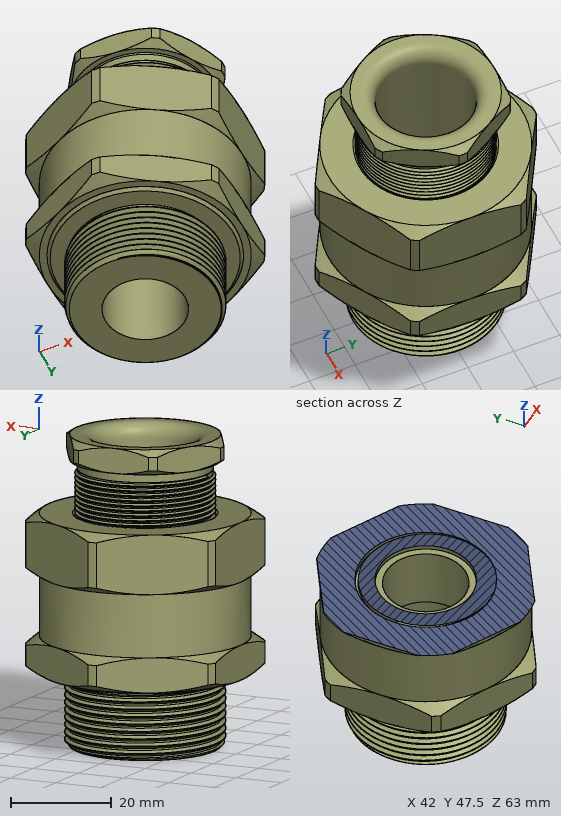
import cadquery as cq
import math

COS_30 = math.cos(math.pi / 6)
TAN_30 = math.tan(math.pi / 6)

COLLAR_BOTTOM = 14.3
LOWER_HEX_BOTTOM = 15.0
LOWER_HEX_TOP = 22.1
UPPER_HEX_BOTTOM = 34.9
UPPER_HEX_TOP = 47.0
NECK_BOTTOM = 56.0
CAP_HEX_BOTTOM = 57.9
TOTAL_HEIGHT = 63.0

LARGE_FLAT_RADIUS = 42.0 / 2
LARGE_CORNER_RADIUS = 47.5 / 2
LARGE_HEX_ROTATION = 30.0
LARGE_CHAMFER_HEIGHT = 1.45

SMALL_FLAT_RADIUS = 15.0
SMALL_CORNER_RADIUS = 16.8
SMALL_HEX_ROTATION = 1.5
SMALL_CHAMFER_HEIGHT = 1.2

COLLAR_RADIUS = 19.45
COLLAR_CHAMFER = 0.6
ENTRY_THREAD_RADIUS = 16.0
ENTRY_THREAD_LENGTH = 15.0
ENTRY_THREAD_TURNS = 10
ENTRY_THREAD_PITCH = ENTRY_THREAD_LENGTH / ENTRY_THREAD_TURNS
ENTRY_THREAD_END = 14.2
ENTRY_THREAD_END_ANGLE = 270.0
ENTRY_END_CHAMFER = 0.95
CREST_CLEARANCE = 0.1

GLAND_THREAD_RADIUS = 14.0
GLAND_THREAD_PITCH = 1.0
GLAND_THREAD_END = 55.55
GLAND_THREAD_END_ANGLE = 180.0
NECK_RADIUS = 13.55
NECK_FLARE = 0.25
FLARE_ANGLE = 45.0
GLAND_BORE_RADIUS = 10.0
MOUTH_ROUND = 2.95

SLEEVE_RADIUS = LARGE_FLAT_RADIUS
STEM_HOLE_CHAMFER = 0.45
CABLE_BORE_RADIUS = 8.55

THREAD_DEPTH_RATIO = 5 / 8 * COS_30
CREST_WIDTH_RATIO = 1 / 8
BASE_WIDTH_RATIO = 3 / 4
RIDGE_EMBED = 0.1


def cylinder(radius, bottom, top):
    return cq.Workplane("XY").workplane(offset=bottom).circle(radius).extrude(top - bottom)


def ring(outer_radius, inner_radius, bottom, top):
    return cylinder(outer_radius, bottom, top).cut(cylinder(inner_radius, bottom, top))


def chamfered_hexagon(flat_radius, corner_radius, chamfer_height, rotation, bottom, top):
    """Hexagonal prism whose corners are turned round and bevelled down to the flats at both ends."""
    corner_diameter = 2 * flat_radius / COS_30
    prism = cq.Workplane("XY").workplane(offset=bottom).polygon(6, corner_diameter).extrude(top - bottom)
    prism = prism.rotate((0, 0, 0), (0, 0, 1), rotation)
    turned_blank = (
        cq.Workplane("XZ")
        .moveTo(0, bottom)
        .lineTo(flat_radius, bottom)
        .lineTo(corner_radius, bottom + chamfer_height)
        .lineTo(corner_radius, top - chamfer_height)
        .lineTo(flat_radius, top)
        .lineTo(0, top)
        .close()
        .revolve(360, (0, 0, 0), (0, 1, 0))
    )
    return prism.intersect(turned_blank)


def large_hexagon(bottom, top):
    return chamfered_hexagon(
        LARGE_FLAT_RADIUS, LARGE_CORNER_RADIUS, LARGE_CHAMFER_HEIGHT, LARGE_HEX_ROTATION, bottom, top
    )


def thread_root_radius(crest_radius, pitch):
    return crest_radius - THREAD_DEPTH_RATIO * pitch


def thread_ridge(crest_radius, pitch, turns, end_height, end_angle):
    """Right-hand helical ridge whose crest reaches end_height at end_angle, running down from there."""
    root = thread_root_radius(crest_radius, pitch)
    embed_widening = RIDGE_EMBED * TAN_30
    half_base = BASE_WIDTH_RATIO * pitch / 2 + embed_widening
    half_crest = CREST_WIDTH_RATIO * pitch / 2
    helix = cq.Wire.makeHelix(pitch, turns * pitch, root)
    ridge = (
        cq.Workplane("XZ")
        .moveTo(root - RIDGE_EMBED, -half_base)
        .lineTo(crest_radius, -half_crest)
        .lineTo(crest_radius, half_crest)
        .lineTo(root - RIDGE_EMBED, half_base)
        .close()
        .sweep(cq.Workplane(helix), isFrenet=True)
    )
    start_angle = end_angle - 360 * turns
    return ridge.rotate((0, 0, 0), (0, 0, 1), start_angle).translate((0, 0, end_height - turns * pitch))


def make_entry_fitting():
    """Lower hexagon with a chamfered collar and a male entry thread, bevelled at both ends, below it."""
    root = thread_root_radius(ENTRY_THREAD_RADIUS, ENTRY_THREAD_PITCH)
    ridge = thread_ridge(
        ENTRY_THREAD_RADIUS,
        ENTRY_THREAD_PITCH,
        ENTRY_THREAD_TURNS,
        ENTRY_THREAD_END,
        ENTRY_THREAD_END_ANGLE,
    )
    envelope = cylinder(ENTRY_THREAD_RADIUS + CREST_CLEARANCE, 0, COLLAR_BOTTOM)
    envelope = envelope.faces("<Z or >Z").chamfer(ENTRY_END_CHAMFER + CREST_CLEARANCE)
    threaded_stem = cylinder(root, 0, COLLAR_BOTTOM).union(ridge).intersect(envelope)
    collar = cylinder(COLLAR_RADIUS, COLLAR_BOTTOM, LOWER_HEX_BOTTOM).faces("<Z").chamfer(COLLAR_CHAMFER)
    hexagon = large_hexagon(LOWER_HEX_BOTTOM, LOWER_HEX_TOP)
    bore = cylinder(CABLE_BORE_RADIUS, 0, LOWER_HEX_TOP)
    return hexagon.union(collar).union(threaded_stem).cut(bore)


def make_sleeve():
    """Plain round sleeve between the two large hexagons."""
    return ring(SLEEVE_RADIUS, GLAND_THREAD_RADIUS, LOWER_HEX_TOP, UPPER_HEX_BOTTOM)


def make_seal():
    """Ring inside the sleeve that narrows the passage to the cable bore."""
    return ring(GLAND_THREAD_RADIUS, CABLE_BORE_RADIUS, LOWER_HEX_TOP, UPPER_HEX_BOTTOM)


def make_upper_hexagon():
    """Large hexagon that holds the stem of the gland nut."""
    stem_hole = cylinder(GLAND_THREAD_RADIUS, UPPER_HEX_BOTTOM, UPPER_HEX_TOP)
    drilled = large_hexagon(UPPER_HEX_BOTTOM, UPPER_HEX_TOP).cut(stem_hole)
    hole_rim = cq.selectors.RadiusNthSelector(0)
    return drilled.faces(">Z").edges(hole_rim).chamfer(STEM_HOLE_CHAMFER)


def make_gland_nut():
    """Small hexagonal cap on a threaded stem, bored through with a rounded mouth."""
    root = thread_root_radius(GLAND_THREAD_RADIUS, GLAND_THREAD_PITCH)
    cap = chamfered_hexagon(
        SMALL_FLAT_RADIUS,
        SMALL_CORNER_RADIUS,
        SMALL_CHAMFER_HEIGHT,
        SMALL_HEX_ROTATION,
        CAP_HEX_BOTTOM,
        TOTAL_HEIGHT,
    )
    neck = cylinder(NECK_RADIUS, NECK_BOTTOM, CAP_HEX_BOTTOM)
    flare = (
        cq.Workplane("XY")
        .workplane(offset=CAP_HEX_BOTTOM)
        .circle(NECK_RADIUS + NECK_FLARE)
        .extrude(-NECK_FLARE, taper=FLARE_ANGLE)
    )
    thread_turns = math.floor((GLAND_THREAD_END - UPPER_HEX_BOTTOM) / GLAND_THREAD_PITCH)
    ridge = thread_ridge(
        GLAND_THREAD_RADIUS, GLAND_THREAD_PITCH, thread_turns, GLAND_THREAD_END, GLAND_THREAD_END_ANGLE
    )
    stem = cylinder(root, UPPER_HEX_BOTTOM, NECK_BOTTOM).union(ridge)
    bore = cylinder(GLAND_BORE_RADIUS, UPPER_HEX_BOTTOM, TOTAL_HEIGHT)
    mouth = (
        cq.Workplane("XZ")
        .moveTo(0, TOTAL_HEIGHT)
        .lineTo(GLAND_BORE_RADIUS + MOUTH_ROUND, TOTAL_HEIGHT)
        .radiusArc((GLAND_BORE_RADIUS, TOTAL_HEIGHT - MOUTH_ROUND), -MOUTH_ROUND)
        .lineTo(0, TOTAL_HEIGHT - MOUTH_ROUND)
        .close()
        .revolve(360, (0, 0, 0), (0, 1, 0))
    )
    return cap.union(neck).union(flare).union(stem).cut(bore).cut(mouth)


entry_fitting = make_entry_fitting()
sleeve = make_sleeve()
seal = make_seal()
upper_hexagon = make_upper_hexagon()
gland_nut = make_gland_nut()

result = cq.Compound.makeCompound(
    [entry_fitting.val(), sleeve.val(), seal.val(), upper_hexagon.val(), gland_nut.val()]
)